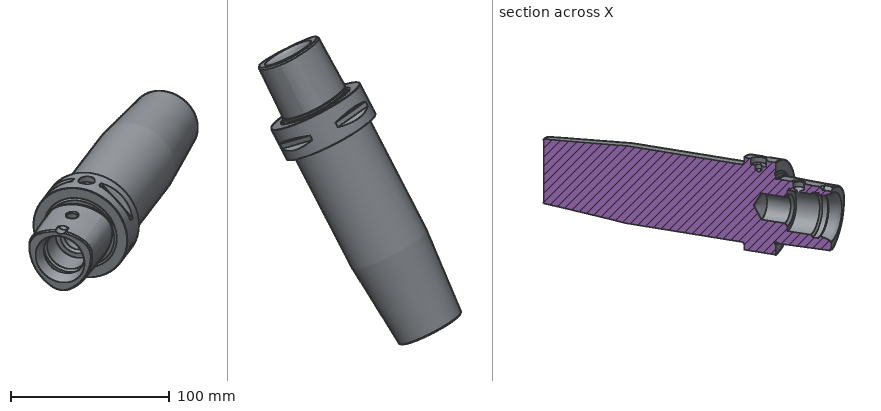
import cadquery as cq
import math


FLANGE_RADIUS = 63.0 / 2
FLANGE_WIDTH = 22.0
FLANGE_CHAMFER = 0.3
RIM_FEATURE_Y = 12.0
BODY_LENGTH = 160.0
BODY_RADIUS = 53.0 / 2
NOSE_CONE_LENGTH = 57.0
NOSE_RADIUS = 44.2 / 2
NOSE_CHAMFER = 0.6
BODY_FOOT_CHAMFER = 1.1

RELIEF_OUTER_RADIUS = 24.4
RELIEF_INNER_RADIUS = 22.7

SHANK_LENGTH = 38.0
SHANK_TAPER = 1 / 20
LOBE_CENTER_DISTANCE = 10.85
LOBE_RADIUS = 12.75
FLANK_RADIUS = LOBE_RADIUS + LOBE_CENTER_DISTANCE * math.sqrt(3)
LOBE_PITCH = 120
LOBE_ANGLES = (-90, 30, 150)
LOBE_HALF_ANGLE = 30
SHANK_END_CHAMFER_LENGTH = 1.2
SHANK_END_CHAMFER_INSET = 0.8
NECK_LENGTH = 2.0
NECK_INSET = 0.4
NECK_FLARE = 0.6

MOUTH_RADIUS = 16.4
LEAD_IN_RADIUS = 15.2
LEAD_IN_DEPTH = 2.0
LIP_RADIUS = 13.7
LIP_START_DEPTH = 6.6
LIP_END_DEPTH = 7.8
GROOVE_START_DEPTH = 9.0
GROOVE_RADIUS = 15.2
GROOVE_END_DEPTH = 12.7
BORE_START_DEPTH = 14.0
BORE_DEPTH = 30.0
DRAW_HOLE_RADIUS = 17.5 / 2
DRAW_HOLE_MOUTH_RADIUS = 21.0 / 2
DRAW_HOLE_DEPTH = 48.0
DRILL_TIP_HALF_ANGLE = 59.0

SLOT_FLOOR_WIDTH = 3.2
SLOT_FLOOR_DISTANCE = 27.7
SLOT_FLANK_ANGLE = 30.0
SLOT_ANGLES = (45, 135, 225, 315)

RIM_HOLE_RADIUS = 5.2
RIM_HOLE_FLOOR_Z = 27.5
RIM_PILOT_RADIUS = 2.0
RIM_PILOT_DEPTH = 3.0

SHANK_HOLE_Y = -15.5
SHANK_HOLE_RADIUS = 3.6
SHANK_HOLE_SHOULDER_Z = 16.1
SHANK_HOLE_MOUTH_RADIUS = 4.4
SHANK_HOLE_MOUTH_Z = 20.3
NOTCH_RADIUS = 4.5
NOTCH_AXIS_Z = 22.5
NOTCH_LENGTH = 6.0
NOTCH_TIP_HALF_ANGLE = 52.0


def tip_height(radius, half_angle):
    return radius / math.tan(math.radians(half_angle))


def revolved(points):
    """Turn (radius, y) points about the Y axis."""
    return cq.Workplane("XY").polyline(points).close().revolve(360, (0, 0, 0), (0, 1, 0))


def drilled(radius, depth, half_angle):
    """A drill-shaped cutter that starts at the origin and points to -Z."""
    outline = [(0, 0), (radius, 0), (radius, -depth), (0, -depth - tip_height(radius, half_angle))]
    return cq.Workplane("XZ").polyline(outline).close().revolve(360, (0, 0, 0), (0, 1, 0))


def turned_body():
    return revolved([
        (0, 0),
        (FLANGE_RADIUS - FLANGE_CHAMFER, 0),
        (FLANGE_RADIUS, FLANGE_CHAMFER),
        (FLANGE_RADIUS, FLANGE_WIDTH),
        (BODY_RADIUS + BODY_FOOT_CHAMFER, FLANGE_WIDTH),
        (BODY_RADIUS, FLANGE_WIDTH + BODY_FOOT_CHAMFER),
        (BODY_RADIUS, BODY_LENGTH - NOSE_CONE_LENGTH),
        (NOSE_RADIUS, BODY_LENGTH - NOSE_CHAMFER),
        (NOSE_RADIUS - NOSE_CHAMFER, BODY_LENGTH),
        (0, BODY_LENGTH),
    ])


def relief_groove():
    section_radius = (RELIEF_OUTER_RADIUS - RELIEF_INNER_RADIUS) / 2
    middle_radius = RELIEF_OUTER_RADIUS - section_radius
    return cq.Workplane(cq.Solid.makeTorus(middle_radius, section_radius, dir=cq.Vector(0, 1, 0)))


def polar(radius, angle):
    return radius * math.cos(math.radians(angle)), radius * math.sin(math.radians(angle))


def polygon_outline(y, inset):
    """Shank outline at position y, moved inwards by inset. Lobe and flank arcs meet tangentially."""
    lobe_radius = LOBE_RADIUS - inset
    flank_radius = FLANK_RADIUS - inset

    def lobe_point(lobe_angle, turn):
        center_x, center_z = polar(LOBE_CENTER_DISTANCE, lobe_angle)
        offset_x, offset_z = polar(lobe_radius, lobe_angle + turn)
        return center_x + offset_x, center_z + offset_z

    outline = cq.Workplane("XZ", origin=(0, y, 0)).moveTo(*lobe_point(LOBE_ANGLES[0], -LOBE_HALF_ANGLE))
    for lobe_angle in LOBE_ANGLES:
        next_lobe = lobe_angle + LOBE_PITCH
        flank_middle = polar(flank_radius - LOBE_CENTER_DISTANCE, lobe_angle + LOBE_PITCH / 2)
        outline = outline.threePointArc(lobe_point(lobe_angle, 0), lobe_point(lobe_angle, LOBE_HALF_ANGLE))
        outline = outline.threePointArc(flank_middle, lobe_point(next_lobe, -LOBE_HALF_ANGLE))
    return outline.wire().val()


def polygon_section(start_y, start_inset, end_y, end_inset):
    wires = [polygon_outline(start_y, start_inset), polygon_outline(end_y, end_inset)]
    return cq.Workplane(cq.Solid.makeLoft(wires, True))


def polygon_shank():
    flare_y = NECK_FLARE - NECK_LENGTH
    chamfer_y = SHANK_END_CHAMFER_LENGTH - SHANK_LENGTH
    slope = SHANK_TAPER / 2
    root_inset = slope * NECK_LENGTH
    end_inset = slope * -chamfer_y
    neck = polygon_section(0, NECK_INSET, flare_y, NECK_INSET)
    flare = polygon_section(flare_y, NECK_INSET, -NECK_LENGTH, root_inset)
    cone = polygon_section(-NECK_LENGTH, root_inset, chamfer_y, end_inset)
    chamfer = polygon_section(chamfer_y, end_inset, -SHANK_LENGTH, end_inset + SHANK_END_CHAMFER_INSET)
    return neck.union(flare).union(cone).union(chamfer)


def central_bore():
    draw_chamfer = DRAW_HOLE_MOUTH_RADIUS - DRAW_HOLE_RADIUS
    profile = [
        (0, 0),
        (MOUTH_RADIUS, 0),
        (LEAD_IN_RADIUS, LEAD_IN_DEPTH),
        (LIP_RADIUS, LIP_START_DEPTH),
        (LIP_RADIUS, LIP_END_DEPTH),
        (GROOVE_RADIUS, GROOVE_START_DEPTH),
        (GROOVE_RADIUS, GROOVE_END_DEPTH),
        (LIP_RADIUS, BORE_START_DEPTH),
        (LIP_RADIUS, BORE_DEPTH),
        (DRAW_HOLE_MOUTH_RADIUS, BORE_DEPTH),
        (DRAW_HOLE_RADIUS, BORE_DEPTH + draw_chamfer),
        (DRAW_HOLE_RADIUS, DRAW_HOLE_DEPTH),
        (0, DRAW_HOLE_DEPTH + tip_height(DRAW_HOLE_RADIUS, DRILL_TIP_HALF_ANGLE)),
    ]
    return revolved(profile).translate((0, -SHANK_LENGTH, 0))


def gripper_slot(angle):
    """A straight trapezoidal cut across the rim, facing the given angle from +X towards +Z."""
    height = FLANGE_RADIUS - SLOT_FLOOR_DISTANCE
    floor_half = SLOT_FLOOR_WIDTH / 2
    top_half = floor_half + height * math.tan(math.radians(SLOT_FLANK_ANGLE))
    outline = [
        (SLOT_FLOOR_DISTANCE, RIM_FEATURE_Y - floor_half),
        (FLANGE_RADIUS, RIM_FEATURE_Y - top_half),
        (FLANGE_RADIUS, RIM_FEATURE_Y + top_half),
        (SLOT_FLOOR_DISTANCE, RIM_FEATURE_Y + floor_half),
    ]
    slot = cq.Workplane("XY").polyline(outline).close().extrude(FLANGE_RADIUS, both=True)
    return slot.rotate((0, 0, 0), (0, 1, 0), -angle)


def rim_hole():
    counterbore = cq.Workplane("XY").circle(RIM_HOLE_RADIUS).extrude(FLANGE_RADIUS - RIM_HOLE_FLOOR_Z)
    pilot = drilled(RIM_PILOT_RADIUS, RIM_PILOT_DEPTH, DRILL_TIP_HALF_ANGLE)
    return counterbore.union(pilot).translate((0, RIM_FEATURE_Y, RIM_HOLE_FLOOR_Z))


def shank_hole():
    """A countersunk blind hole; the countersink has a 90 degree cone."""
    depth = FLANGE_RADIUS - SHANK_HOLE_SHOULDER_Z
    drill = drilled(SHANK_HOLE_RADIUS, depth, DRILL_TIP_HALF_ANGLE)
    drill = drill.translate((0, SHANK_HOLE_Y, FLANGE_RADIUS))
    sink_depth = FLANGE_RADIUS - SHANK_HOLE_MOUTH_Z
    sink_radius = SHANK_HOLE_MOUTH_RADIUS + sink_depth
    sink = cq.Solid.makeCone(
        sink_radius, 0, sink_radius, pnt=cq.Vector(0, SHANK_HOLE_Y, FLANGE_RADIUS), dir=cq.Vector(0, 0, -1)
    )
    return drill.union(cq.Workplane(sink))


def end_notch():
    """A drill-shaped groove along Y, open at the shank end, with its tip towards the flange."""
    groove = drilled(NOTCH_RADIUS, NOTCH_LENGTH, NOTCH_TIP_HALF_ANGLE)
    return groove.rotate((0, 0, 0), (1, 0, 0), 90).translate((0, -SHANK_LENGTH, NOTCH_AXIS_Z))


result = turned_body().cut(relief_groove()).union(polygon_shank()).cut(central_bore())
for slot_angle in SLOT_ANGLES:
    result = result.cut(gripper_slot(slot_angle))
result = result.cut(rim_hole()).cut(shank_hole()).cut(end_notch())